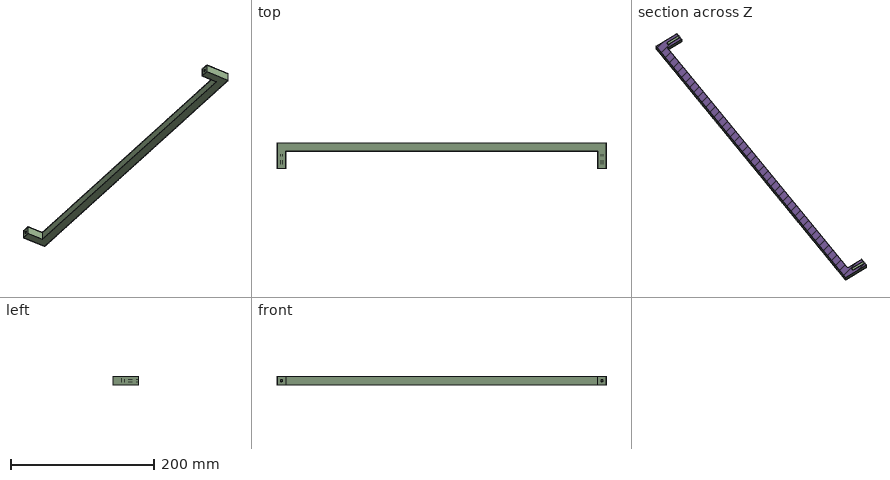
import cadquery as cq

LENGTH = 460.0
PROJECTION = 36.0
BAR = 12.0
HOLE_DIAMETER = 3.0
HOLE_DEPTH = 20.0

hole_spacing = LENGTH - BAR


def make_handle():
    """U-shaped pull handle: a square bar with a leg at each end pointing to -Y."""
    grip = cq.Workplane("XY").box(LENGTH, PROJECTION, BAR)
    gap = (
        cq.Workplane("XY")
        .box(LENGTH - 2 * BAR, PROJECTION - BAR, BAR)
        .translate((0, -BAR / 2, 0))
    )
    return grip.cut(gap)


def make_mounting_hole(x):
    """Blind hole running in +Y from the end face of the leg centred at x."""
    return (
        cq.Workplane("XZ", origin=(x, -PROJECTION / 2, 0))
        .circle(HOLE_DIAMETER / 2)
        .extrude(-HOLE_DEPTH)
    )


result = make_handle()
for side in (-1, 1):
    result = result.cut(make_mounting_hole(side * hole_spacing / 2))